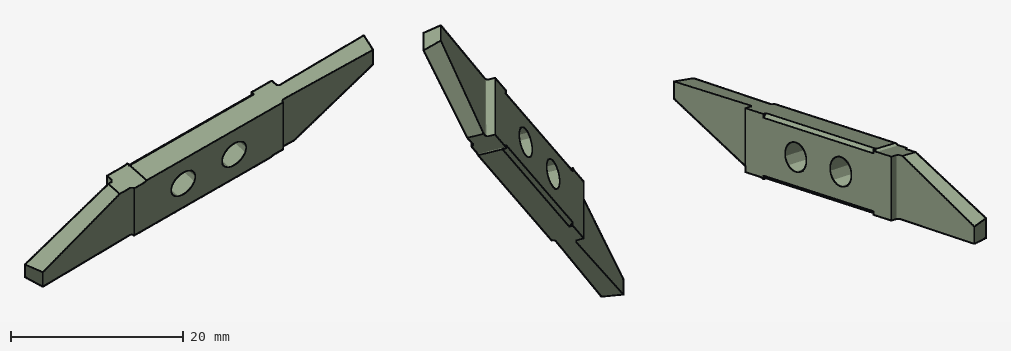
import cadquery as cq
import math

length = 50.5
thickness = 3.6
height = 8.0
half_length = length / 2
half_thickness = thickness / 2
half_height = height / 2

shoulder_near_y = 12.25
shoulder_far_y = 11.1
shoulder_radius = 0.35
neck_near_x = -0.65
neck_far_x = 1.4
tip_near_x = -0.85
tip_far_x = 1.65
tip_setback = 0.65

centre_half_length = 9.25
step_depth = 0.15
step_run = 0.55
tip_height = 2.1
taper_start_y = 13.0

edge_chamfer = 0.45
hole_diameter = 3.6
hole_spacing = 7.6


def make_plan_solid():
    """Full-height body with two shouldered blades that widen toward their tips."""
    near_half = [
        (-half_thickness, shoulder_near_y),
        (neck_near_x, shoulder_near_y),
        (tip_near_x, half_length),
    ]
    far_half = [
        (tip_far_x, half_length - tip_setback),
        (neck_far_x, shoulder_far_y),
        (half_thickness, shoulder_far_y),
    ]
    one_end = near_half + far_half
    other_end = [(x, -y) for x, y in reversed(one_end)]
    plan = (
        cq.Workplane("XY")
        .workplane(offset=-half_height)
        .polyline(one_end + other_end)
        .close()
        .extrude(height)
    )
    for neck_x, shoulder_y in ((neck_near_x, shoulder_near_y), (neck_far_x, shoulder_far_y)):
        for side in (1, -1):
            corner = cq.selectors.NearestToPointSelector((neck_x, side * shoulder_y, 0))
            plan = plan.edges("|Z").edges(corner).fillet(shoulder_radius)
    return plan


def make_side_solid():
    """Side silhouette with opposed blade tapers and concave steps beside the raised centre."""
    step_z = half_height - step_depth
    step_end_y = centre_half_length + step_run
    step_radius = (step_run**2 + step_depth**2) / (2 * step_depth)
    half_angle = math.asin(step_run / step_radius) / 2
    arc_y = step_end_y - step_radius * math.sin(half_angle)
    arc_z = step_z + step_radius * (1 - math.cos(half_angle))
    return (
        cq.Workplane("YZ")
        .workplane(offset=-half_thickness)
        .moveTo(half_length, half_height)
        .lineTo(-centre_half_length, half_height)
        .threePointArc((-arc_y, arc_z), (-step_end_y, step_z))
        .lineTo(-taper_start_y, step_z)
        .lineTo(-half_length, tip_height - half_height)
        .lineTo(-half_length, -half_height)
        .lineTo(centre_half_length, -half_height)
        .threePointArc((arc_y, -arc_z), (step_end_y, -step_z))
        .lineTo(taper_start_y, -step_z)
        .lineTo(half_length, half_height - tip_height)
        .close()
        .extrude(thickness)
    )


def make_edge_chamfer(side):
    """Triangular cutter for the -X edge of the centre; side is 1 at the top, -1 below."""
    edge_z = side * half_height
    return (
        cq.Workplane("XZ")
        .polyline([
            (-half_thickness, edge_z),
            (-half_thickness + edge_chamfer, edge_z),
            (-half_thickness, edge_z - side * edge_chamfer),
        ])
        .close()
        .extrude(centre_half_length, both=True)
    )


def make_holes():
    """Two through-holes along X, spaced evenly about the middle."""
    return (
        cq.Workplane("YZ")
        .pushPoints([(-hole_spacing / 2, 0), (hole_spacing / 2, 0)])
        .circle(hole_diameter / 2)
        .extrude(half_thickness, both=True)
    )


body = make_plan_solid().intersect(make_side_solid())
for chamfer_side in (1, -1):
    body = body.cut(make_edge_chamfer(chamfer_side))
result = body.cut(make_holes())